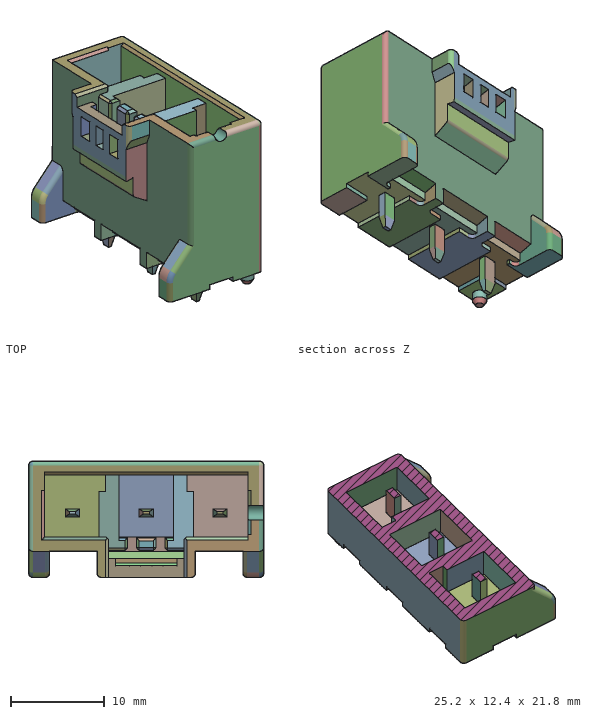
import cadquery as cq


WIDTH = 25.15
HALF_WIDTH = WIDTH / 2
HEIGHT = 18.1
BACK_Y = 5.53
WALL_FRONT_Y = -4.12
FRONT_Y = -6.91
EDGE_RADIUS = 0.5

CAVITY_HALF_WIDTH = 10.85
CAVITY_BACK_Y = 4.02
CAVITY_FRONT_Y = -2.6
FLOOR_Z = 3.02
LEAD_IN_HEIGHT = 0.3
LEAD_IN_SIDE = 0.3
LEAD_IN_LONG = 0.33
SIDE_LEAD_IN_BACK_Y = 2.36
SIDE_LEAD_IN_FRONT_Y = -2.35
RIM_NOTCH_RADIUS = 0.78

DIVIDER_INNER_X = 2.92
DIVIDER_OUTER_X = 4.35
DIVIDER_STEP_X = 5.05
DIVIDER_STEP_Y = 2.26
DIVIDER_TOP_Z = 17.22
POST_FRONT_Y = -4.02
POST_REAR_Y = -2.7
POST_CHAMFER = 0.25
SIDE_POST_X = 2
MIDDLE_POST_HALF_WIDTH = 1.05
MIDDLE_POST_CHAMFER = 0.3

LATCH_HALF_WIDTH = 4.78
LATCH_LIP_Y = -6.9
LATCH_STEP_Y = -5.95
LATCH_LIP_TOP_Z = 11.9
LATCH_LIP_Z = 11.35
LATCH_STEP_Z = 11.51
LATCH_SLOPE_TOP_Z = 9.25
LATCH_BOTTOM_Z = 8.2
LATCH_CORNER_RADIUS = 0.38
WING_HALF_WIDTH = 5.25
WING_BOTTOM_Z = 16.35
WING_TAPER_Z = 15.18
NOTCH_FLOOR_Z = 16.65

POCKET_HALF_WIDTH = 4.05
POCKET_FRONT_Y = -4.88
POCKET_FLOOR_Z = 9.55
POCKET_SLOPE_RISE = 0.45
POCKET_CORNER_CHAMFER = 0.25
RELIEF_HALF_WIDTH = 3.27
RELIEF_FRONT_Y = -5.63
RELIEF_CHAMFER = 0.28

WINDOW_BOTTOM_Z = 13.48
WINDOW_TOP_Z = 15.81
WINDOW_TOP_DROP = 0.3
SIDE_WINDOW_INNER_X = 1.8
MIDDLE_WINDOW_HALF_WIDTH = 0.6

FOOT_WIDTH = 2.26
FOOT_TOP_Z = 6.0
FOOT_CORNER_Z = 2.97
FOOT_CORNER_RADIUS = 1.89
FOOT_ROOT_Y = -3.4
FOOT_INNER_X = HALF_WIDTH - FOOT_WIDTH

RIB_INNER_X = 3.47
RIB_OUTER_X = 4.68
RECESS_HEIGHT = 1.95
RECESS_SLOPE_DROP = 0.45
RECESS_BACK_Y = -2.6
STANDOFF_HEIGHT = 0.53
STANDOFF_FRONT_Y = -1.89
STANDOFF_RADIUS = 0.55
CHANNEL_HALF_WIDTH = 1.48
SIDE_NOTCH_HALF_WIDTH = 1.53

PIN_PITCH = 7.9
PIN_WIDTH = 1.5
PIN_THICKNESS = 0.85
TAIL_TIP_WIDTH = 0.83
TAIL_TIP_THICKNESS = 0.38
CONTACT_TIP_WIDTH = 0.65
CONTACT_TIP_THICKNESS = 0.25
PIN_TIP_LENGTH = 1.28
PIN_BOTTOM_Z = -3.7
PIN_TOP_Z = 11.31
PEG_X = 11.36
PEG_Y = 4.27
PEG_DIAMETER = 1.55
PEG_LENGTH = 1.43
PEG_TIP_LENGTH = 0.55
PEG_TIP_INSET = 0.35


def block(x_range, y_range, z_range):
    """Axis-aligned box between the given pairs of limits."""
    (x0, x1), (y0, y1), (z0, z1) = x_range, y_range, z_range
    return cq.Workplane("XY").box(x1 - x0, y1 - y0, z1 - z0, centered=False).translate((x0, y0, z0))


def side_prism(points, x0, x1):
    """Outline of (y, z) points extruded along X from x0 to x1."""
    return cq.Workplane("YZ").polyline(points).close().extrude(x1 - x0).translate((x0, 0, 0))


def front_prism(points, y0, y1):
    """Outline of (x, z) points extruded along Y from y0 to y1."""
    return cq.Workplane("XZ").polyline(points).close().extrude(y0 - y1).translate((0, y0, 0))


def both_sides(solid):
    """The solid together with its mirror image across X = 0."""
    return solid.union(solid.mirror("YZ"))


def housing_shell():
    shell = block((-HALF_WIDTH, HALF_WIDTH), (WALL_FRONT_Y, BACK_Y), (0, HEIGHT))
    rounded_edges = "|Z or (>Z and (<X or >X or >Y))"
    return shell.edges(rounded_edges).fillet(EDGE_RADIUS)


def feet():
    slope = (FOOT_TOP_Z - FOOT_CORNER_Z) / (WALL_FRONT_Y - FRONT_Y)
    root_top_z = FOOT_TOP_Z + slope * (FOOT_ROOT_Y - WALL_FRONT_Y)
    outline = [(FRONT_Y, 0), (FRONT_Y, FOOT_CORNER_Z), (FOOT_ROOT_Y, root_top_z), (FOOT_ROOT_Y, 0)]
    foot = side_prism(outline, FOOT_INNER_X, HALF_WIDTH)
    corner = cq.selectors.NearestToPointSelector((HALF_WIDTH - FOOT_WIDTH / 2, FRONT_Y, FOOT_CORNER_Z))
    foot = foot.edges("|X").edges(corner).fillet(FOOT_CORNER_RADIUS)
    foot = foot.faces("<Y").edges("|Z").fillet(EDGE_RADIUS)
    return both_sides(foot)


def latch_block():
    root_y = CAVITY_FRONT_Y
    outline = [
        (root_y, HEIGHT),
        (FRONT_Y, HEIGHT),
        (FRONT_Y, LATCH_LIP_TOP_Z),
        (LATCH_LIP_Y, LATCH_LIP_Z),
        (LATCH_STEP_Y, LATCH_STEP_Z),
        (LATCH_STEP_Y, LATCH_SLOPE_TOP_Z),
        (WALL_FRONT_Y, LATCH_BOTTOM_Z),
        (root_y, LATCH_BOTTOM_Z),
    ]
    latch = side_prism(outline, -LATCH_HALF_WIDTH, LATCH_HALF_WIDTH)
    slope_edge = cq.selectors.NearestToPointSelector((0, LATCH_STEP_Y, LATCH_SLOPE_TOP_Z))
    latch = latch.edges("|X").edges(slope_edge).fillet(LATCH_CORNER_RADIUS)

    wing_outline = [
        (-LATCH_HALF_WIDTH, WING_TAPER_Z),
        (-WING_HALF_WIDTH, WING_BOTTOM_Z),
        (-WING_HALF_WIDTH, HEIGHT),
        (WING_HALF_WIDTH, HEIGHT),
        (WING_HALF_WIDTH, WING_BOTTOM_Z),
        (LATCH_HALF_WIDTH, WING_TAPER_Z),
    ]
    wings = front_prism(wing_outline, root_y, FRONT_Y)
    rounded = block((-WING_HALF_WIDTH, WING_HALF_WIDTH), (FRONT_Y, root_y), (0, HEIGHT))
    rounded = rounded.edges("|Z and <Y").fillet(WING_HALF_WIDTH - LATCH_HALF_WIDTH)
    return latch.union(wings.intersect(rounded))


def cavity():
    room = block(
        (-CAVITY_HALF_WIDTH, CAVITY_HALF_WIDTH), (CAVITY_FRONT_Y, CAVITY_BACK_Y), (FLOOR_Z, HEIGHT)
    )
    lead_in_z = HEIGHT - LEAD_IN_HEIGHT
    long_lead_in = [
        (CAVITY_FRONT_Y, lead_in_z),
        (CAVITY_FRONT_Y - LEAD_IN_LONG, HEIGHT),
        (CAVITY_BACK_Y + LEAD_IN_LONG, HEIGHT),
        (CAVITY_BACK_Y, lead_in_z),
    ]
    room = room.union(side_prism(long_lead_in, -CAVITY_HALF_WIDTH, CAVITY_HALF_WIDTH))

    side_lead_in = [
        (0, lead_in_z),
        (CAVITY_HALF_WIDTH, lead_in_z),
        (CAVITY_HALF_WIDTH + LEAD_IN_SIDE, HEIGHT),
        (0, HEIGHT),
    ]
    right = front_prism(side_lead_in, SIDE_LEAD_IN_BACK_Y, SIDE_LEAD_IN_FRONT_Y)
    left = front_prism(side_lead_in, SIDE_LEAD_IN_BACK_Y, CAVITY_FRONT_Y - LEAD_IN_LONG).mirror("YZ")
    left_corner = side_prism(long_lead_in, -CAVITY_HALF_WIDTH - LEAD_IN_SIDE, 0)
    return room.union(right).union(left.intersect(left_corner))


def latch_pocket():
    outline = [
        (CAVITY_FRONT_Y, POCKET_FLOOR_Z),
        (WALL_FRONT_Y, POCKET_FLOOR_Z),
        (POCKET_FRONT_Y, POCKET_FLOOR_Z + POCKET_SLOPE_RISE),
        (POCKET_FRONT_Y, HEIGHT),
        (CAVITY_FRONT_Y, HEIGHT),
    ]
    pocket = side_prism(outline, -POCKET_HALF_WIDTH, POCKET_HALF_WIDTH)

    relief_floor_z = WINDOW_BOTTOM_Z - RELIEF_CHAMFER
    relief = [
        (POCKET_FRONT_Y, relief_floor_z),
        (RELIEF_FRONT_Y + RELIEF_CHAMFER, relief_floor_z),
        (RELIEF_FRONT_Y, WINDOW_BOTTOM_Z),
        (RELIEF_FRONT_Y, HEIGHT),
        (POCKET_FRONT_Y, HEIGHT),
    ]
    pocket = pocket.union(side_prism(relief, -RELIEF_HALF_WIDTH, RELIEF_HALF_WIDTH))

    lead_in_x = POCKET_HALF_WIDTH + LEAD_IN_SIDE
    notch = [
        (-POCKET_HALF_WIDTH, NOTCH_FLOOR_Z),
        (-POCKET_HALF_WIDTH, HEIGHT - LEAD_IN_HEIGHT),
        (-lead_in_x, HEIGHT),
        (lead_in_x, HEIGHT),
        (POCKET_HALF_WIDTH, HEIGHT - LEAD_IN_HEIGHT),
        (POCKET_HALF_WIDTH, NOTCH_FLOOR_Z),
    ]
    pocket = pocket.union(front_prism(notch, CAVITY_FRONT_Y, FRONT_Y))

    corner = [
        (POCKET_HALF_WIDTH, CAVITY_FRONT_Y),
        (POCKET_HALF_WIDTH + POCKET_CORNER_CHAMFER, CAVITY_FRONT_Y),
        (POCKET_HALF_WIDTH, CAVITY_FRONT_Y - POCKET_CORNER_CHAMFER),
    ]
    corner_cut = cq.Workplane("XY").polyline(corner).close().extrude(HEIGHT - DIVIDER_TOP_Z)
    return pocket.union(both_sides(corner_cut.translate((0, 0, DIVIDER_TOP_Z))))


def windows():
    outline = [
        (FRONT_Y, WINDOW_BOTTOM_Z),
        (RELIEF_FRONT_Y, WINDOW_BOTTOM_Z),
        (RELIEF_FRONT_Y, WINDOW_TOP_Z - WINDOW_TOP_DROP),
        (FRONT_Y, WINDOW_TOP_Z),
    ]
    side = side_prism(outline, SIDE_WINDOW_INNER_X, RELIEF_HALF_WIDTH)
    middle = side_prism(outline, -MIDDLE_WINDOW_HALF_WIDTH, MIDDLE_WINDOW_HALF_WIDTH)
    return both_sides(side).union(middle)


def rim_notch():
    cutter = cq.Workplane("YZ").circle(RIM_NOTCH_RADIUS).extrude(HALF_WIDTH)
    return cutter.translate((CAVITY_HALF_WIDTH - LEAD_IN_SIDE, 0, HEIGHT))


def dividers():
    heights = (FLOOR_Z, DIVIDER_TOP_Z)
    thin = block((DIVIDER_INNER_X, DIVIDER_OUTER_X), (CAVITY_FRONT_Y, CAVITY_BACK_Y), heights)
    thick = block((DIVIDER_INNER_X, DIVIDER_STEP_X), (CAVITY_FRONT_Y, DIVIDER_STEP_Y), heights)
    return both_sides(thin.union(thick))


def posts():
    lengths = (POST_FRONT_Y, POST_REAR_Y)
    heights = (POCKET_FLOOR_Z, DIVIDER_TOP_Z)
    middle = block((-MIDDLE_POST_HALF_WIDTH, MIDDLE_POST_HALF_WIDTH), lengths, heights)
    middle = middle.edges("(|Z and <Y) or >Z").chamfer(MIDDLE_POST_CHAMFER)
    side = block((SIDE_POST_X, POCKET_HALF_WIDTH), lengths, heights)
    side = side.edges("(|Z and <Y and <X) or (>Z and (<X or <Y or >Y))").chamfer(POST_CHAMFER)
    bridge_depth = (POST_REAR_Y - 2 * POST_CHAMFER, CAVITY_FRONT_Y)
    bridge = block((DIVIDER_INNER_X, POCKET_HALF_WIDTH), bridge_depth, heights)
    return middle.union(both_sides(side.union(bridge)))


def underside_recesses():
    outline = [
        (FRONT_Y, 0),
        (FRONT_Y, RECESS_HEIGHT),
        (WALL_FRONT_Y, RECESS_HEIGHT),
        (RECESS_BACK_Y, RECESS_HEIGHT - RECESS_SLOPE_DROP),
        (RECESS_BACK_Y, 0),
    ]
    cutter = cq.Workplane("XY")
    bays = [(-FOOT_INNER_X, -RIB_OUTER_X), (-RIB_INNER_X, RIB_INNER_X), (RIB_OUTER_X, FOOT_INNER_X)]
    for x0, x1 in bays:
        behind_wall = block((x0, x1), (FRONT_Y, STANDOFF_FRONT_Y), (0, STANDOFF_HEIGHT))
        behind_wall = behind_wall.edges("|Z and >Y").fillet(STANDOFF_RADIUS)
        cutter = cutter.union(side_prism(outline, x0, x1)).union(behind_wall)
    return cutter


def underside_channels():
    channel_outer_x = PIN_PITCH + CHANNEL_HALF_WIDTH
    side_notch = block(
        (channel_outer_x, HALF_WIDTH), (-SIDE_NOTCH_HALF_WIDTH, SIDE_NOTCH_HALF_WIDTH), (0, STANDOFF_HEIGHT)
    )
    cutter = both_sides(side_notch)
    for x in (-PIN_PITCH, 0, PIN_PITCH):
        limits = (x - CHANNEL_HALF_WIDTH, x + CHANNEL_HALF_WIDTH)
        cutter = cutter.union(block(limits, (STANDOFF_FRONT_Y, BACK_Y), (0, STANDOFF_HEIGHT)))
    return cutter


def pin_tip(tip_width, tip_thickness, length):
    """Taper from the pin section at Z = 0 to the tip at Z = length."""
    tip = cq.Workplane("XY").rect(PIN_WIDTH, PIN_THICKNESS)
    return tip.workplane(offset=length).rect(tip_width, tip_thickness).loft(ruled=True)


def pin():
    shank_bottom_z = PIN_BOTTOM_Z + PIN_TIP_LENGTH
    shank_top_z = PIN_TOP_Z - PIN_TIP_LENGTH
    shank = cq.Workplane("XY", origin=(0, 0, shank_bottom_z)).rect(PIN_WIDTH, PIN_THICKNESS)
    shank = shank.extrude(shank_top_z - shank_bottom_z)
    tail = pin_tip(TAIL_TIP_WIDTH, TAIL_TIP_THICKNESS, -PIN_TIP_LENGTH)
    contact = pin_tip(CONTACT_TIP_WIDTH, CONTACT_TIP_THICKNESS, PIN_TIP_LENGTH)
    shank = shank.union(tail.translate((0, 0, shank_bottom_z)))
    shank = shank.union(contact.translate((0, 0, shank_top_z)))
    return shank


def peg():
    body = cq.Workplane("XY").circle(PEG_DIAMETER / 2).extrude(-PEG_LENGTH)
    body = body.faces("<Z").chamfer(PEG_TIP_LENGTH, PEG_TIP_INSET)
    return body.translate((PEG_X, PEG_Y, 0))


result = housing_shell().union(feet()).union(latch_block())
result = result.cut(cavity()).cut(latch_pocket()).cut(windows()).cut(rim_notch())
result = result.union(dividers()).union(posts())
result = result.cut(underside_recesses()).cut(underside_channels())
for pin_x in (-PIN_PITCH, 0, PIN_PITCH):
    result = result.union(pin().translate((pin_x, 0, 0)))
result = result.union(peg())